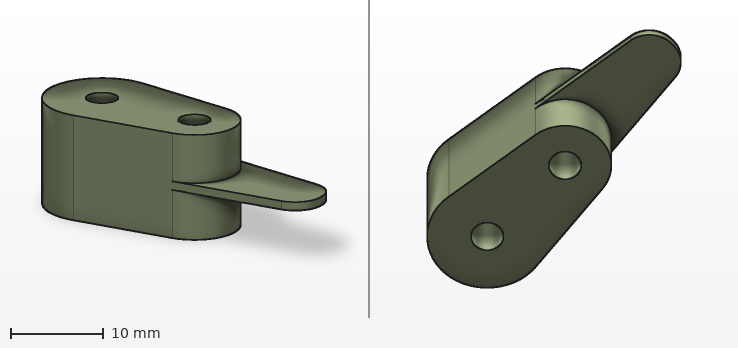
import cadquery as cq
import math

total_length = 35.22
height = 12.0
large_radius = 6.498
small_radius = 5.0
center_spacing_x = 12.2
hole_diameter = 3.5
tongue_thickness = 1.0
tip_radius = 3.17

flank_y = -large_radius
small_center_y = flank_y + small_radius
tip_x = total_length - large_radius

slope = 2 * math.atan2(small_center_y, center_spacing_x)
normal_x = -math.sin(slope)
normal_y = math.cos(slope)


def sloped_tangent(center_x, center_y, radius):
    """Point where the sloped flank touches a round end."""
    return (center_x + radius * normal_x, center_y + radius * normal_y)


large_tangent = sloped_tangent(0, 0, large_radius)
small_tangent = sloped_tangent(center_spacing_x, small_center_y, small_radius)


def make_body():
    """Full-height block with two round ends joined by tangent flanks."""
    return (
        cq.Workplane("XY")
        .moveTo(0, flank_y)
        .lineTo(center_spacing_x, flank_y)
        .threePointArc((center_spacing_x + small_radius, small_center_y), small_tangent)
        .lineTo(*large_tangent)
        .threePointArc((-large_radius, 0), (0, flank_y))
        .close()
        .extrude(height / 2, both=True)
    )


def make_tongue():
    """Thin mid-height plate continuing both flanks to a rounded tip."""
    tip_top_y = small_tangent[1] + (tip_x - small_tangent[0]) * math.tan(slope)
    return (
        cq.Workplane("XY")
        .moveTo(center_spacing_x, flank_y)
        .lineTo(tip_x, flank_y)
        .lineTo(tip_x, tip_top_y)
        .lineTo(*small_tangent)
        .close()
        .extrude(tongue_thickness / 2, both=True)
        .edges("|Z and >X")
        .fillet(tip_radius)
    )


def make_holes():
    """Through holes on the centres of the two round ends."""
    return (
        cq.Workplane("XY")
        .pushPoints([(0, 0), (center_spacing_x, small_center_y)])
        .circle(hole_diameter / 2)
        .extrude(height, both=True)
    )


result = make_body().union(make_tongue()).cut(make_holes())